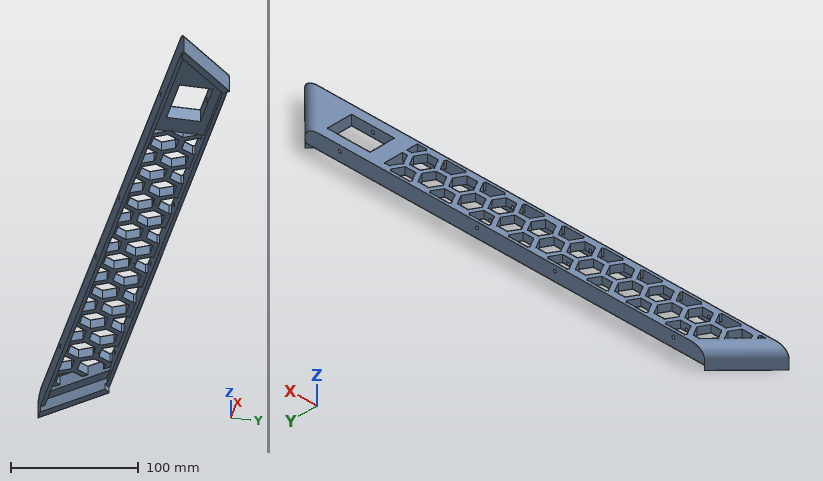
import cadquery as cq
import math

LENGTH = 531.72
WIDTH = 46.8
TOTAL_HEIGHT = 21.0
LIP_DROP = 5.0
BAR_HEIGHT = TOTAL_HEIGHT - LIP_DROP
END_FILLET = 10.0
HALF_LENGTH = LENGTH / 2
HALF_WIDTH = WIDTH / 2

LIP_THICKNESS = 6.0

SIDE_WALL = 3.0
END_WALL = LIP_THICKNESS
WINDOW_PLATE = 11.0
GRILLE_PLATE = 8.0

HEX_FLATS = 20.0
HEX_PITCH = 24.9
HEX_COLUMN_PITCH = HEX_PITCH * math.cos(math.pi / 6)
HEX_COLUMNS = 20
HEX_ROWS = 4
LAST_HEX_COLUMN_X = 139.5
GRILLE_RIGHT_X = 139.0
GRILLE_END_MARGIN = 14.0

WINDOW_LENGTH = 47.0
WINDOW_WIDTH = 27.0
WINDOW_X = 181.0

CROSS_HOLE_DIAMETER = 3.0
CROSS_HOLE_DEPTH = 6.0
CROSS_HOLE_XS = (-185.0, -55.0, 30.5, WINDOW_X)


def end_x(y, inset):
    """X of the right 45 degree end at y, moved inward by inset measured square to the slant."""
    return HALF_LENGTH - (y + HALF_WIDTH) - inset * math.sqrt(2)


def prism(points, bottom, top):
    return cq.Workplane("XY").workplane(offset=bottom).polyline(points).close().extrude(top - bottom)


def make_bar():
    """Bar at full height, with the top edges of both slanted ends rounded."""
    front = end_x(-HALF_WIDTH, 0)
    back = end_x(HALF_WIDTH, 0)
    outline = [
        (-front, -HALF_WIDTH),
        (front, -HALF_WIDTH),
        (back, HALF_WIDTH),
        (-back, HALF_WIDTH),
    ]
    bar = prism(outline, -LIP_DROP, BAR_HEIGHT)
    return bar.faces(">Z").edges("not(|X)").fillet(END_FILLET)


def make_lip_clearance():
    """Space below the bar between the lips; the back end of each lip is square to its slant."""
    front = end_x(-HALF_WIDTH, LIP_THICKNESS)
    back = end_x(HALF_WIDTH, 0)
    step = LIP_THICKNESS / math.sqrt(2)
    outline = [
        (-front, -HALF_WIDTH),
        (front, -HALF_WIDTH),
        (back - step, HALF_WIDTH - step),
        (back, HALF_WIDTH),
        (-back, HALF_WIDTH),
        (step - back, HALF_WIDTH - step),
    ]
    return prism(outline, -LIP_DROP, 0)


def make_hollow():
    """Pocket in the underside, inside the side walls and the slanted end walls."""
    y = HALF_WIDTH - SIDE_WALL
    outline = [
        (-end_x(-y, END_WALL), -y),
        (end_x(-y, END_WALL), -y),
        (end_x(y, END_WALL), y),
        (-end_x(y, END_WALL), y),
    ]
    return prism(outline, 0, BAR_HEIGHT - WINDOW_PLATE)


def make_grille_region(top):
    """Area of the grille, from the underside of the bar up to top."""
    y = HALF_WIDTH - SIDE_WALL
    outline = [
        (-end_x(-y, GRILLE_END_MARGIN), -y),
        (GRILLE_RIGHT_X, -y),
        (GRILLE_RIGHT_X, y),
        (-end_x(y, GRILLE_END_MARGIN), y),
    ]
    return prism(outline, 0, top)


def make_grille_cells():
    """Hexagonal through openings; neighbouring columns are staggered by half a pitch."""
    centres = []
    for column in range(HEX_COLUMNS):
        x = LAST_HEX_COLUMN_X - column * HEX_COLUMN_PITCH
        stagger = HEX_PITCH / 2 * (column % 2)
        for row in range(HEX_ROWS):
            y = HEX_PITCH * (row - HEX_ROWS / 2 + 1 / 4) + stagger
            centres.append((x, y))
    corner_diameter = HEX_FLATS / math.cos(math.pi / 6)
    cells = cq.Workplane("XY").pushPoints(centres).polygon(6, corner_diameter).extrude(BAR_HEIGHT)
    return make_grille_region(BAR_HEIGHT).intersect(cells)


def make_window():
    return cq.Workplane("XY").center(WINDOW_X, 0).rect(WINDOW_LENGTH, WINDOW_WIDTH).extrude(BAR_HEIGHT)


def make_cross_holes():
    z = BAR_HEIGHT - CROSS_HOLE_DEPTH
    back_face = cq.Workplane("XZ", origin=(0, HALF_WIDTH, 0))
    points = [(x, z) for x in CROSS_HOLE_XS]
    return back_face.pushPoints(points).circle(CROSS_HOLE_DIAMETER / 2).extrude(WIDTH)


result = (
    make_bar()
    .cut(make_lip_clearance())
    .cut(make_hollow())
    .cut(make_grille_region(BAR_HEIGHT - GRILLE_PLATE))
    .cut(make_grille_cells())
    .cut(make_window())
    .cut(make_cross_holes())
)